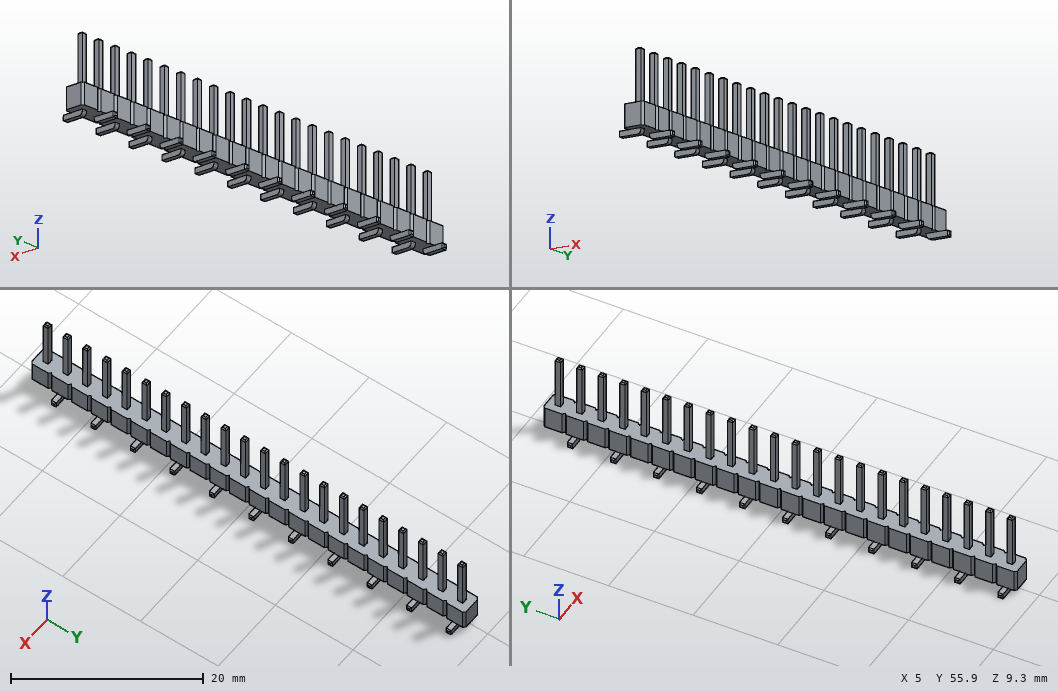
import cadquery as cq

strip_length = 55.9
pin_count = 22
pitch = strip_length / pin_count

block_side = pitch
block_height = pitch
corner_bevel = 0.25

half_side = 0.32
pin_side = 2 * half_side
overall_height = 9.3
foot_span = 5.0
foot_reach = foot_span / 2
tip_bevel = 0.15
bend_radius = 0.45


def strip_block():
    """One block of the strip with bevelled upright edges, resting on top of the feet."""
    return (
        cq.Workplane("XY", origin=(0, 0, pin_side))
        .box(block_side, pitch, block_height, centered=(True, True, False))
        .edges("|Z")
        .chamfer(corner_bevel)
    )


def left_pin():
    """A bent pin: an upright shaft with a foot pointing to -X, both ends bevelled."""
    shaft = (
        cq.Workplane("XY")
        .box(pin_side, pin_side, overall_height, centered=(True, True, False))
        .faces(">Z")
        .chamfer(tip_bevel)
    )
    foot = (
        cq.Workplane("XY", origin=(-foot_reach, 0, 0))
        .box(foot_reach + half_side, pin_side, pin_side, centered=(False, True, False))
        .faces("<X")
        .chamfer(tip_bevel)
    )
    heel_edge = "|Y and >X and <Z"
    return shaft.union(foot).edges(heel_edge).fillet(bend_radius)


left_unit = strip_block().union(left_pin())
right_unit = left_unit.rotate((0, 0, 0), (0, 0, 1), 180)

first_pin_y = (pitch - strip_length) / 2
result = cq.Workplane("XY")
for index in range(pin_count):
    unit = left_unit if index % 2 == 0 else right_unit
    result = result.union(unit.translate((0, first_pin_y + index * pitch, 0)))